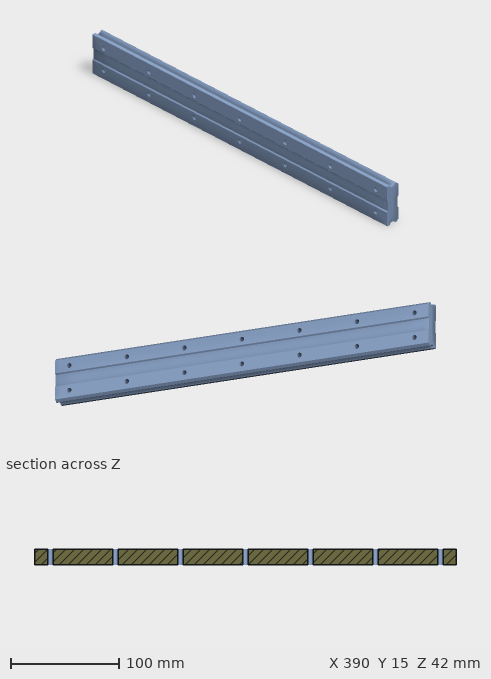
import cadquery as cq

LENGTH = 390.0
THICKNESS = 15.0
HEIGHT = 42.0

GROOVE_DEPTH = 2.5
NOSE_BASE_WIDTH = 6.5
NOSE_SIDE_RUN = 2.5
NOSE_TIP_RUN = 0.6
NOSE_TIP_DROP = 0.5
LIP_WIDTH = 3.5
LIP_SLOPE_RUN = 1.0
LIP_CHAMFER = 0.5

RELIEF_DEPTH = 1.0
RELIEF_OUTER_WIDTH = 13.0

HOLE_DIAMETER = 4.5
HOLES_PER_ROW = 7
HOLE_PITCH = 60.0
ROW_COUNT = 2
ROW_SPACING = 23.8

half_length = LENGTH / 2
half_height = HEIGHT / 2
front = -THICKNESS / 2
back = THICKNESS / 2


def lip_points():
    """Lip section (Y, Z): chamfered front corner, flat top and a side sloping into the groove."""
    lip_inner = front + LIP_WIDTH
    return [
        (front, half_height - LIP_CHAMFER),
        (front + LIP_CHAMFER, half_height),
        (lip_inner, half_height),
        (lip_inner + LIP_SLOPE_RUN, half_height - GROOVE_DEPTH),
    ]


def nose_points():
    """Nose section (Y, Z), symmetric, with sloping sides and a bevel at each corner of the tip."""
    base_z = half_height - GROOVE_DEPTH
    shoulder_z = half_height - NOSE_TIP_DROP
    nose_center = back - NOSE_BASE_WIDTH / 2
    half_base = NOSE_BASE_WIDTH / 2
    half_shoulder = half_base - NOSE_SIDE_RUN
    half_tip = half_shoulder - NOSE_TIP_RUN
    return [
        (nose_center - half_base, base_z),
        (nose_center - half_shoulder, shoulder_z),
        (nose_center - half_tip, half_height),
        (nose_center + half_tip, half_height),
        (nose_center + half_shoulder, shoulder_z),
        (back, base_z),
    ]


def upper_half_outline():
    """Section points (Y, Z) above the mid-plane, from the front face to the back face."""
    relief_edge = RELIEF_OUTER_WIDTH / 2
    relief_floor_edge = relief_edge - RELIEF_DEPTH
    front_relief = [(front + RELIEF_DEPTH, relief_floor_edge), (front, relief_edge)]
    back_relief = [(back, relief_edge), (back - RELIEF_DEPTH, relief_floor_edge)]
    return front_relief + lip_points() + nose_points() + back_relief


def make_bar():
    """Extrude the section, mirrored about the mid-plane, along the full length."""
    upper = upper_half_outline()
    lower = [(y, -z) for y, z in reversed(upper)]
    section = cq.Workplane("YZ").polyline(upper + lower).close()
    return section.extrude(half_length, both=True)


def make_holes():
    """Cylinders for both rows of holes, passing through the full thickness."""
    return (
        cq.Workplane("XZ")
        .rarray(HOLE_PITCH, ROW_SPACING, HOLES_PER_ROW, ROW_COUNT)
        .circle(HOLE_DIAMETER / 2)
        .extrude(THICKNESS, both=True)
    )


result = make_bar().cut(make_holes())